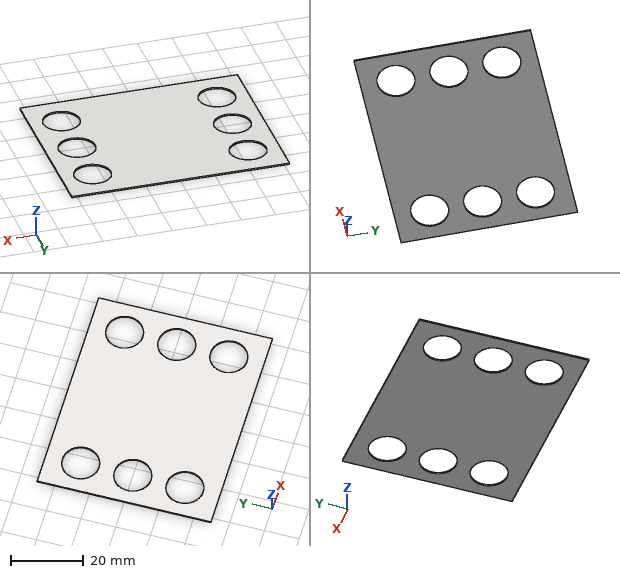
import cadquery as cq

plate_length = 63.0
plate_width = 50.0
plate_thickness = 0.5

hole_diameter = 10.5
column_count = 2
row_count = 3
column_spacing = 45.0
row_spacing = 15.0

plate = cq.Workplane("XY").box(plate_length, plate_width, plate_thickness)

result = (
    plate.faces(">Z")
    .workplane()
    .rarray(column_spacing, row_spacing, column_count, row_count)
    .hole(hole_diameter)
)